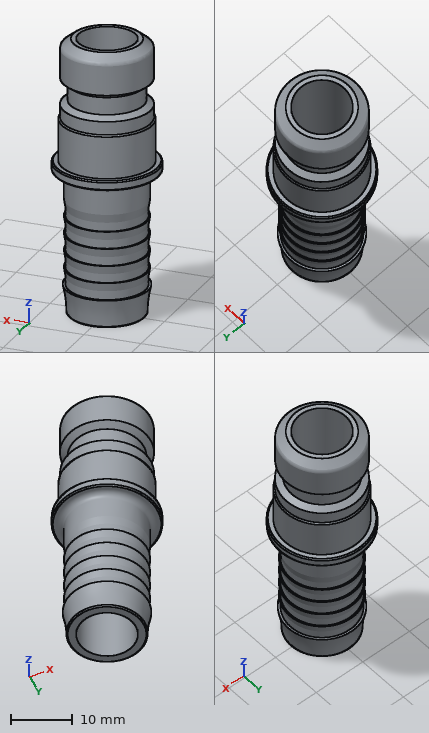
import cadquery as cq
import math

bore_dia = 10.0
groove_dia = 12.8
barb_root_dia = 13.5
barb_crest_dia = 14.0
plug_dia = 15.25
collar_dia = 15.8
flange_dia = 18.0

total_length = 48.0
collar_top = 34.25
shoulder_top = 36.6
groove_bottom = 37.3
groove_top = 40.3
head_bottom = 41.2
flange_bottom = 25.0
flange_top = 26.7

tip_dia = 11.7
tip_cone_length = 1.35
tip_blend_radius = 0.7

edge_chamfer = 0.25
under_flange_fillet = 1.05

barb_count = 5
barb_pitch = 3.0
barb_taper_length = 1.5

end_dia = 13.2
end_flare_dia = 14.4
end_flare_top = 5.0
end_edge_break = 0.25


def revolve_profile(profile):
    """Revolve a closed radius/height outline about the Z axis."""
    return profile.close().revolve(360, (0, 0, 0), (0, 1, 0))


def make_hose_tail():
    end_radius = end_dia / 2
    flare_radius = end_flare_dia / 2
    root_radius = barb_root_dia / 2
    crest_radius = barb_crest_dia / 2

    flank_height = end_flare_top - end_edge_break
    flank_depth = flare_radius - end_radius
    flank_radius = (flank_height**2 + flank_depth**2) / (2 * flank_depth)
    half_angle = math.asin(flank_height / flank_radius) / 2
    flank_middle = (
        end_radius + flank_radius * (1 - math.cos(half_angle)),
        end_edge_break + flank_radius * math.sin(half_angle),
    )

    profile = (
        cq.Workplane("XZ")
        .moveTo(0, 0)
        .lineTo(end_radius - end_edge_break, 0)
        .lineTo(end_radius, end_edge_break)
        .threePointArc(flank_middle, (flare_radius, end_flare_top))
        .lineTo(root_radius, end_flare_top)
    )
    for barb in range(1, barb_count + 1):
        crest_height = end_flare_top + barb * barb_pitch
        profile = profile.lineTo(root_radius, crest_height - barb_taper_length)
        profile = profile.lineTo(crest_radius, crest_height)
        if barb < barb_count:
            profile = profile.lineTo(root_radius, crest_height)

    diagonal_offset = under_flange_fillet * (1 - math.sqrt(0.5))
    fillet_start = flange_bottom - under_flange_fillet
    profile = (
        profile.lineTo(crest_radius, fillet_start)
        .threePointArc(
            (crest_radius + diagonal_offset, flange_bottom - diagonal_offset),
            (crest_radius + under_flange_fillet, flange_bottom),
        )
        .lineTo(0, flange_bottom)
    )
    return revolve_profile(profile)


def make_flange():
    return (
        cq.Workplane("XY")
        .workplane(offset=flange_bottom)
        .circle(flange_dia / 2)
        .extrude(flange_top - flange_bottom)
        .edges()
        .chamfer(edge_chamfer)
    )


def make_plug():
    plug_radius = plug_dia / 2
    collar_radius = collar_dia / 2
    groove_radius = groove_dia / 2
    cone_base = total_length - tip_cone_length
    profile = (
        cq.Workplane("XZ")
        .moveTo(0, flange_top)
        .lineTo(collar_radius, flange_top)
        .lineTo(collar_radius, collar_top - (collar_radius - plug_radius))
        .lineTo(plug_radius, collar_top)
        .lineTo(plug_radius, shoulder_top)
        .lineTo(groove_radius, groove_bottom)
        .lineTo(groove_radius, groove_top)
        .lineTo(plug_radius, head_bottom)
        .lineTo(plug_radius, cone_base)
        .lineTo(tip_dia / 2, total_length)
        .lineTo(0, total_length)
    )
    cone_base_edge = cq.selectors.BoxSelector(
        (-plug_dia, -plug_dia, cone_base - edge_chamfer),
        (plug_dia, plug_dia, cone_base + edge_chamfer),
        boundingbox=True,
    )
    return revolve_profile(profile).edges(cone_base_edge).fillet(tip_blend_radius)


bore = cq.Workplane("XY").circle(bore_dia / 2).extrude(total_length)
result = make_hose_tail().union(make_flange()).union(make_plug()).cut(bore)